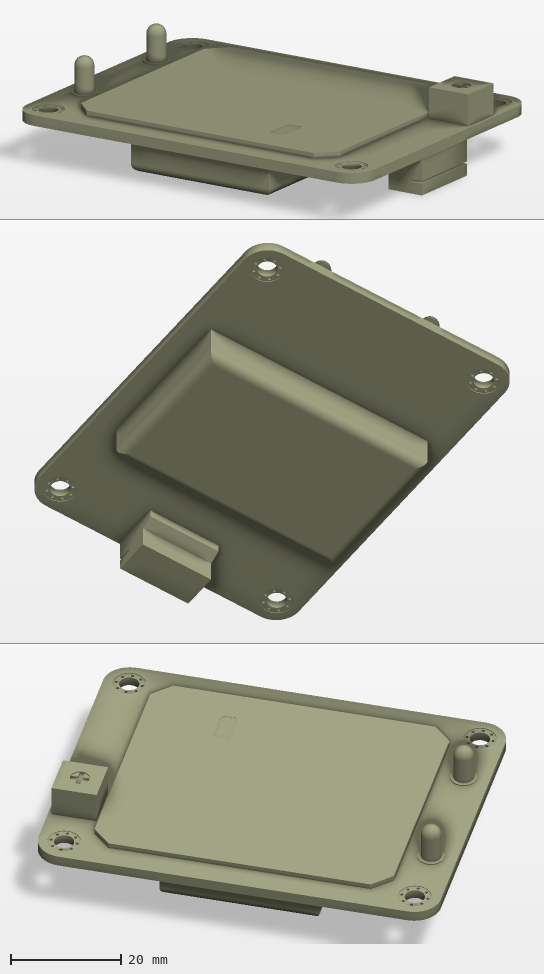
import cadquery as cq

board_length = 75.35
board_width = 57.4
board_thickness = 2.0
corner_radius = 5.0

hole_x = 32.85
hole_y = 23.95
mount_hole_diameter = 3.7
pad_diameter = 6.0
pad_recess = 0.15
via_diameter = 0.6
via_count = 8
via_circle_radius = (mount_hole_diameter + pad_diameter) / 4

panel_length = 56.05
panel_width = 2 * hole_y
panel_height = 1.05
panel_chamfer = 3.5

label_length = 3.2
label_width = 6.5
label_radius = 0.6
label_depth = 0.1
label_x = 12.35
label_y = -14.3

pin_radius = 1.8
pin_tip_fillet = 1.7
pin_height = 7.1
pin_y = hole_y / 2
collar_radius = 2.5
collar_height = 0.2

trimmer_side = 8.45
trimmer_height = 6.0
trimmer_x = 32.8
trimmer_y = 12.65
screw_diameter = 3.6
screw_recess = 0.2
screw_slot_width = 0.9
screw_slot_depth = 0.6

can_length = 30.0
can_width = panel_width
can_height = 7.0
can_fillet = 1.65

connector_left = 27.7
connector_step = 30.1
connector_right = 37.4
connector_width = 15.1
connector_height = can_height
slope_top = 1.6
slope_bottom = 2.7

slot_top = 4.3
slot_height = 0.45
slot_end_left = 34.4
slot_middle_left = 35.6
slot_taper = slot_middle_left - slot_end_left

underside = -board_thickness


def make_board():
    return (
        cq.Workplane("XY")
        .box(board_length, board_width, board_thickness, centered=(True, True, False))
        .translate((0, 0, underside))
        .edges("|Z")
        .fillet(corner_radius)
    )


def make_hole_cutter():
    """Bore, shallow pad recess on both faces and via ring of one mounting hole."""
    bore = cq.Workplane("XY").circle(mount_hole_diameter / 2).extrude(-board_thickness)
    pad = cq.Workplane("XY").circle(pad_diameter / 2).extrude(-pad_recess)
    bottom_pad = pad.translate((0, 0, pad_recess - board_thickness))
    vias = (
        cq.Workplane("XY")
        .polarArray(via_circle_radius, 0, 360, via_count)
        .circle(via_diameter / 2)
        .extrude(-board_thickness)
    )
    return bore.union(pad).union(bottom_pad).union(vias)


def make_panel():
    panel = (
        cq.Workplane("XY")
        .box(panel_length, panel_width, panel_height, centered=(True, True, False))
        .edges("|Z")
        .chamfer(panel_chamfer)
    )
    label = (
        cq.Workplane("XY")
        .box(label_length, label_width, label_depth, centered=(True, True, False))
        .edges("|Z")
        .fillet(label_radius)
        .translate((label_x, label_y, panel_height - label_depth))
    )
    return panel.cut(label)


def make_pin():
    """Round pin with a rounded tip and a thin collar, on the Z axis."""
    pin = (
        cq.Workplane("XY")
        .circle(pin_radius)
        .extrude(pin_height)
        .faces(">Z")
        .edges()
        .fillet(pin_tip_fillet)
    )
    collar = cq.Workplane("XY").circle(collar_radius).extrude(collar_height)
    return pin.union(collar)


def make_trimmer():
    block = cq.Workplane("XY").rect(trimmer_side, trimmer_side).extrude(trimmer_height)
    top = cq.Workplane("XY").workplane(offset=trimmer_height)
    screw = top.circle(screw_diameter / 2).extrude(-screw_slot_depth)
    slots = (
        top.rect(screw_diameter, screw_slot_width).extrude(-screw_slot_depth)
        .union(top.rect(screw_slot_width, screw_diameter).extrude(-screw_slot_depth))
    )
    recess = top.circle(screw_diameter / 2).extrude(-screw_recess)
    return block.cut(recess).cut(screw.intersect(slots))


def make_can():
    return (
        cq.Workplane("XY")
        .box(can_length, can_width, can_height, centered=(True, True, False))
        .translate((0, 0, underside - can_height))
        .faces("<Z")
        .edges()
        .fillet(can_fillet)
    )


def make_connector():
    body = (
        cq.Workplane("XZ")
        .moveTo(connector_left, underside)
        .lineTo(connector_right, underside)
        .lineTo(connector_right, underside - connector_height)
        .lineTo(connector_step, underside - connector_height)
        .lineTo(connector_step, underside - slope_bottom)
        .lineTo(connector_left, underside - slope_top)
        .close()
        .extrude(connector_width / 2, both=True)
    )
    half_width = connector_width / 2
    slot = (
        cq.Workplane("XY")
        .workplane(offset=underside - slot_top)
        .moveTo(connector_right, -half_width)
        .lineTo(slot_end_left, -half_width)
        .lineTo(slot_middle_left, -half_width + slot_taper)
        .lineTo(slot_middle_left, half_width - slot_taper)
        .lineTo(slot_end_left, half_width)
        .lineTo(connector_right, half_width)
        .close()
        .extrude(-slot_height)
    )
    return body.cut(slot)


result = (
    make_board()
    .union(make_panel())
    .union(make_can())
    .union(make_connector())
    .union(make_trimmer().translate((trimmer_x, trimmer_y, 0)))
)
for side in (-1, 1):
    result = result.union(make_pin().translate((-hole_x, side * pin_y, 0)))
for x in (-hole_x, hole_x):
    for y in (-hole_y, hole_y):
        result = result.cut(make_hole_cutter().translate((x, y, 0)))